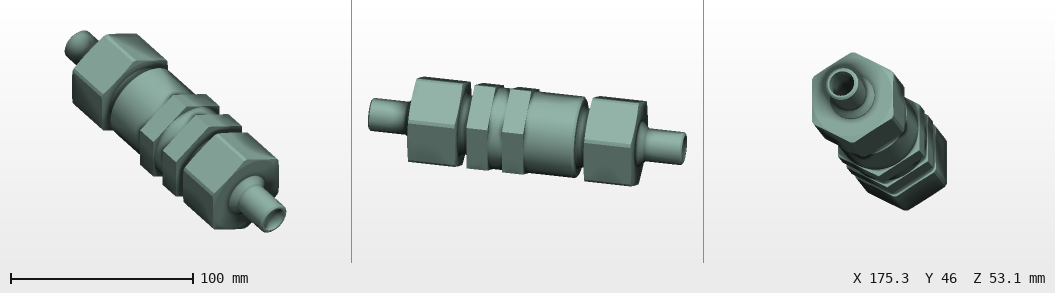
import cadquery as cq
import math

total_length = 175.3
across_flats = 46.0
bore_diameter = 14.0

tube_diameter = 18.2
tube_length = 20.7
tube_chamfer_length = 0.9
tube_chamfer_depth = 1.0
collar_diameter = 25.0

thread_diameter = 36.0
thread_depth = 18.4
groove_diameter = 32.8
groove_flare = 0.96
barrel_flare = 1.0

barrel_diameter = 45.0
barrel_start = -30.0
barrel_chamfer = 1.0
hex_width = 11.7
first_hex_start = -2.1
second_hex_start = 17.9

nut_length = 27.0
nut_setback = 24.9
nut_corner_diameter = 51.9
nut_face_diameter = 45.0
nut_chamfer_length = 0.5

half_length = total_length / 2
hex_corner_diameter = across_flats / math.cos(math.radians(30))
tube_radius = tube_diameter / 2
collar_radius = collar_diameter / 2
thread_radius = thread_diameter / 2
groove_radius = groove_diameter / 2
barrel_radius = barrel_diameter / 2
cone_length = collar_radius - tube_radius
thread_runout = thread_radius - groove_radius
nut_front = half_length - nut_setback
nut_back = nut_front - nut_length
thread_front = nut_back + thread_depth
groove_end = nut_back - groove_flare
second_hex_end = second_hex_start + hex_width


def hex_prism(start, length):
    """Hexagonal prism along X with two corners pointing along Z."""
    return (
        cq.Workplane("YZ", origin=(start, 0, 0))
        .transformed(rotate=(0, 0, 90))
        .polygon(6, hex_corner_diameter)
        .extrude(length)
    )


def revolve_about_x(points):
    """Solid of revolution about X from (x, radius) points."""
    return cq.Workplane("XY").polyline(points).close().revolve(360, (0, 0, 0), (1, 0, 0))


def end_profile():
    """(distance from the middle, radius) points from the groove out to the tube end."""
    return [
        (groove_end, groove_radius),
        (groove_end + thread_runout, thread_radius),
        (thread_front, thread_radius),
        (thread_front, collar_radius),
        (half_length - tube_length - cone_length, collar_radius),
        (half_length - tube_length, tube_radius),
        (half_length - tube_chamfer_length, tube_radius),
        (half_length, tube_radius - tube_chamfer_depth),
        (half_length, 0),
    ]


def make_body():
    """Check valve body: barrel, two hexes, threaded ends and tube stubs, bored through."""
    left_end = [(-x, radius) for x, radius in reversed(end_profile())]
    barrel = [
        (barrel_start - barrel_flare, groove_radius),
        (barrel_start, groove_radius + barrel_flare),
        (barrel_start, barrel_radius - barrel_chamfer),
        (barrel_start + barrel_chamfer, barrel_radius),
        (second_hex_end, barrel_radius),
        (second_hex_end, groove_radius),
    ]
    body = revolve_about_x(left_end + barrel + end_profile())
    for start in (first_hex_start, second_hex_start):
        body = body.union(hex_prism(start, hex_width))
    bore = cq.Workplane("YZ", origin=(-half_length, 0, 0)).circle(bore_diameter / 2).extrude(total_length)
    return body.cut(bore)


def make_nut(side):
    """Union nut on the +X (side = 1) or -X (side = -1) end, with blunted, chamfered corners."""
    corner_radius = nut_corner_diameter / 2
    face_radius = nut_face_diameter / 2
    envelope = revolve_about_x([
        (nut_back, 0),
        (nut_back, face_radius),
        (nut_back + nut_chamfer_length, corner_radius),
        (nut_front - nut_chamfer_length, corner_radius),
        (nut_front, face_radius),
        (nut_front, 0),
    ])
    hole = revolve_about_x([
        (nut_back, 0),
        (nut_back, thread_radius),
        (thread_front, thread_radius),
        (thread_front, collar_radius),
        (nut_front, collar_radius),
        (nut_front, 0),
    ])
    nut = hex_prism(nut_back, nut_length).intersect(envelope).cut(hole)
    return nut if side > 0 else nut.mirror("YZ")


body = make_body()
nuts = [make_nut(side) for side in (-1, 1)]

result = cq.Compound.makeCompound([body.val(), *[nut.val() for nut in nuts]])